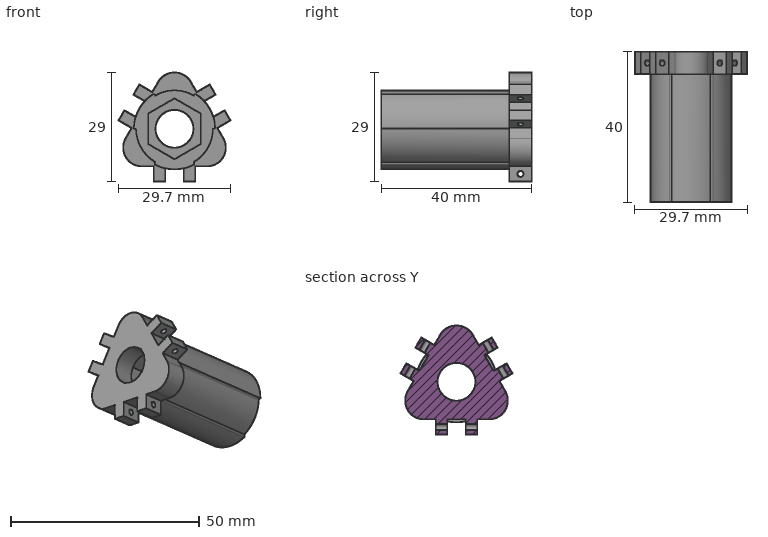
import cadquery as cq
import math

total_length = 40.0
flange_thickness = 6.0

barrel_radius = 10.8
relief_radius = 10.2
sector_angle = 60.0
step_radius = 0.4
bore_diameter = 10.0
hex_across_flats = 14.0

lobe_offset = 10.0
lobe_radius = 5.0
side_count = 3
side_angle = 360.0 / side_count
flat_distance = lobe_offset / 2 + lobe_radius

tab_reach = 14.0
tab_gap = 4.8
tab_thickness = 3.1
tab_hole_diameter = 1.5
tab_hole_distance = 12.0

front_y = -total_length / 2
back_y = total_length / 2
flange_front_y = back_y - flange_thickness
barrel_length = total_length - flange_thickness


def section_at(y):
    """Sketch plane facing -Y, with local x along X and local y along Z."""
    return cq.Workplane("XZ", origin=(0, y, 0))


def polar(radius, degrees):
    angle = math.radians(degrees)
    return (radius * math.cos(angle), radius * math.sin(angle))


def around_axis(body):
    """Return one copy of the body for each side of the flange."""
    return [body.rotate((0, 0, 0), (0, 1, 0), side * side_angle) for side in range(side_count)]


def lengthwise_edge(radius, degrees):
    """Selector for the barrel edge parallel to Y at a polar position."""
    x, z = polar(radius, degrees)
    return cq.selectors.NearestToPointSelector((x, (front_y + flange_front_y) / 2, z))


def make_sector():
    """Raised barrel sector centred on -Z."""
    start = 270 - sector_angle / 2
    end = 270 + sector_angle / 2
    return (
        section_at(flange_front_y)
        .lineTo(*polar(barrel_radius, start))
        .threePointArc(polar(barrel_radius, 270), polar(barrel_radius, end))
        .close()
        .extrude(barrel_length)
    )


def make_barrel():
    barrel = section_at(flange_front_y).circle(relief_radius).extrude(barrel_length)
    for sector in around_axis(make_sector()):
        barrel = barrel.union(sector)
    for degrees in (0, 60, 120, 240, 300):
        barrel = barrel.edges("|Y").edges(lengthwise_edge(barrel_radius, degrees)).fillet(step_radius)
    return barrel.edges("|Y").edges(lengthwise_edge(relief_radius, 180)).fillet(step_radius)


def make_flange():
    lobe_centres = [polar(lobe_offset, 90 + side * side_angle) for side in range(side_count)]
    outline = section_at(back_y).polyline(lobe_centres).close().offset2D(lobe_radius)
    return outline.extrude(flange_thickness)


def make_tab_pair():
    """Two tabs pointing to -Z, crossed by one pin hole."""
    tab_x = (tab_gap + tab_thickness) / 2
    tab_z = -(flat_distance + tab_reach) / 2
    tabs = (
        section_at(back_y)
        .pushPoints([(-tab_x, tab_z), (tab_x, tab_z)])
        .rect(tab_thickness, tab_reach - flat_distance)
        .extrude(flange_thickness)
    )
    pair_width = tab_gap + 2 * tab_thickness
    hole = (
        cq.Workplane("YZ", origin=(-pair_width / 2, back_y - flange_thickness / 2, -tab_hole_distance))
        .circle(tab_hole_diameter / 2)
        .extrude(pair_width)
    )
    return tabs.cut(hole)


def make_hex_socket():
    """Hexagonal pocket along the barrel, with flats facing +X and -X."""
    corner_radius = hex_across_flats / math.sqrt(3)
    corners = [polar(corner_radius, 30 + 60 * corner) for corner in range(6)]
    return section_at(flange_front_y).polyline(corners).close().extrude(barrel_length)


def make_bore():
    return section_at(back_y).circle(bore_diameter / 2).extrude(total_length)


result = make_barrel().union(make_flange())
for tab_pair in around_axis(make_tab_pair()):
    result = result.union(tab_pair)
result = result.cut(make_hex_socket()).cut(make_bore())